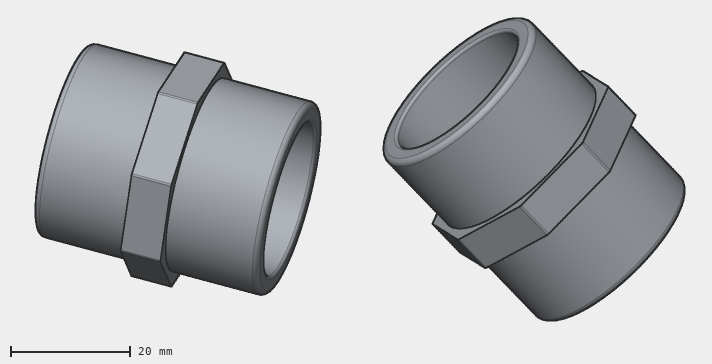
import cadquery as cq
import math

length = 39.6
body_diameter = 33.5
socket_diameter = 26.7
passage_diameter = 22.9
rim_outer_radius = 1.0
rim_inner_radius = 0.5

collar_width = 7.0
stop_width = collar_width
collar_across_flats = 36.0
collar_sides = 8
collar_corner_radius = 0.5

socket_depth = (length - stop_width) / 2
collar_across_corners = collar_across_flats / math.cos(math.pi / collar_sides)


def make_body():
    """Outer cylinder with rounded end rims."""
    cylinder = cq.Workplane("YZ").circle(body_diameter / 2).extrude(length / 2, both=True)
    return cylinder.faces("<X or >X").edges().fillet(rim_outer_radius)


def make_collar():
    """Octagon with corners on the Y and Z axes and slightly rounded edges."""
    octagon = cq.Workplane("YZ").polygon(collar_sides, collar_across_corners)
    return octagon.extrude(collar_width / 2, both=True).edges("|X").fillet(collar_corner_radius)


def cut_bore(part):
    """Cut the through passage and a wider socket from each end."""
    part = part.cut(cq.Workplane("YZ").circle(passage_diameter / 2).extrude(length / 2, both=True))
    for end in (-1, 1):
        socket = (
            cq.Workplane("YZ", origin=(end * length / 2, 0, 0))
            .circle(socket_diameter / 2)
            .extrude(-end * socket_depth)
        )
        part = part.cut(socket)
    return part


def round_socket_mouths(part):
    """Round the inner edge at both ends, the smaller circle of each end face."""
    mouth_limit = (socket_diameter + rim_inner_radius) / 2
    mouths = part.faces("<X or >X").edges().filter(lambda edge: edge.radius() < mouth_limit)
    return mouths.fillet(rim_inner_radius)


result = round_socket_mouths(cut_bore(make_body().union(make_collar())))